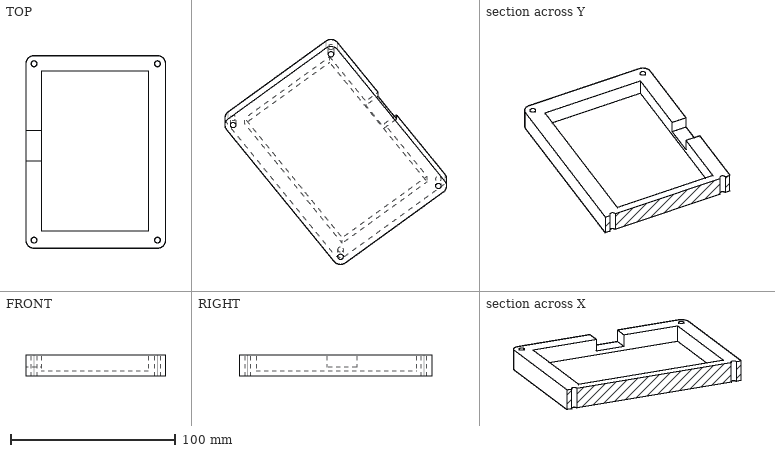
import cadquery as cq

length_x = 85.26
length_y = 117.52
height = 13.0
corner_radius = 5.0

hole_diameter = 3.4

wall_left = 9.5
wall_right = 10.5
wall_front = 10.5
wall_back = 9.5
floor_thickness = 3.0
pocket_depth = height - floor_thickness

notch_width = 18.5
notch_depth = 7.5
notch_center_y = 3.82


def box_from_top(x_min, x_max, y_min, y_max, depth):
    """Box that reaches the given depth below the top face."""
    size_x = x_max - x_min
    size_y = y_max - y_min
    corner = (x_min, y_min, height - depth)
    return cq.Workplane("XY").box(size_x, size_y, depth, centered=False).translate(corner)


def make_block():
    block = cq.Workplane("XY").box(length_x, length_y, height, centered=(True, True, False))
    return block.edges("|Z").fillet(corner_radius)


def make_corner_holes():
    spacing_x = length_x - 2 * corner_radius
    spacing_y = length_y - 2 * corner_radius
    centers = cq.Workplane("XY").rect(spacing_x, spacing_y, forConstruction=True).vertices()
    return centers.circle(hole_diameter / 2).extrude(height)


x_left = -length_x / 2
pocket_x_min = x_left + wall_left
pocket_x_max = length_x / 2 - wall_right
pocket_y_min = -length_y / 2 + wall_front
pocket_y_max = length_y / 2 - wall_back
pocket = box_from_top(pocket_x_min, pocket_x_max, pocket_y_min, pocket_y_max, pocket_depth)

notch_y_min = notch_center_y - notch_width / 2
notch_y_max = notch_center_y + notch_width / 2
notch = box_from_top(x_left, pocket_x_min, notch_y_min, notch_y_max, notch_depth)

result = make_block().cut(make_corner_holes()).cut(pocket).cut(notch)